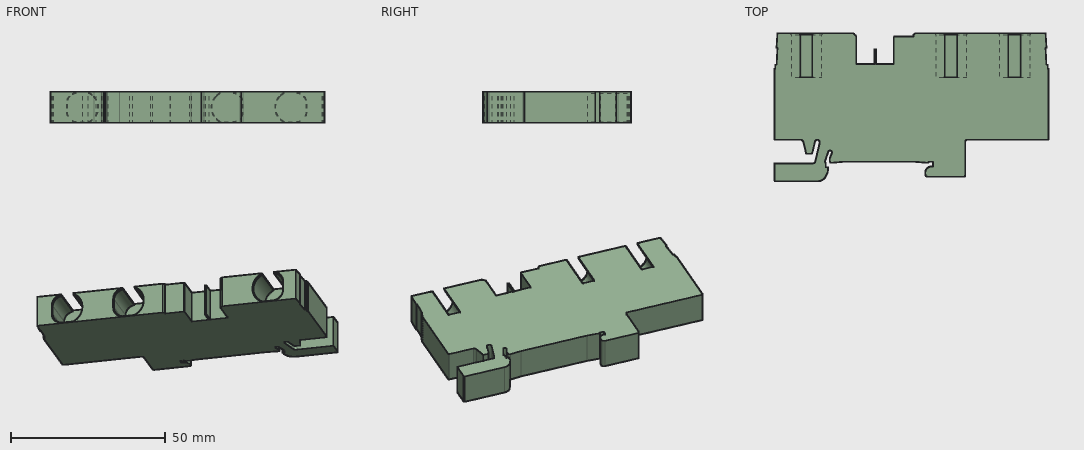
import cadquery as cq
import math

length = 88.9
depth = 48.0
thickness = 10.1

housing_bottom = 13.4
rail_face = 6.3
rail_lip = 6.0
rail_flat_left = 22.4
rail_flat_right = 45.4
rail_right = 49.8
rail_end_slope = 0.4
foot_bottom = 1.4
lever_top = 5.9

latch_valley = 1.0
latch_tip = 0.7
shoulder_inset = 0.3
upper_tooth_top = 43.7
upper_tooth_bottom = 43.2
shoulder_top = 37.8
shoulder_bottom = 36.45
corner_radius = 0.4

notch_left = 26.6
notch_right = 38.7
notch_floor = 38.05
notch_bevel = 1.0
ledge_height = 46.9
ledge_bevel = 0.3
ledge_right = 45.1
ledge_step_bevel = 0.5
pin_left = 32.45
pin_width = 0.5
pin_top = 42.85

foot_right = 61.9
foot_radius = 0.5
hook_radius = 0.9
hook_left = 48.9
hook_top = 4.9
hook_root = 51.4
hook_crown_start = 3.2
hook_land = 0.5

lever_nose = 17.5
lever_nose_top = 4.6
lever_round_start = 14.05
lever_end_bevel = 0.45
inner_slot_left = 16.7
inner_slot_right = 18.0
outer_slot_mouth = 12.4
web_bottom = 6.5

tooth_bottom = 8.9
tooth_shoulder = 12.6
tooth_left = 10.3
tooth_right = 12.1
tooth_bevel_width = 0.4
tooth_bevel_height = 0.6
tooth_taper = 0.9

entry_bottom = 33.8
slot_width = 4.0
left_slots = [8.4]
right_slots = [55.2, 75.8]
entry_wall = 0.45
chamber_overhang = 2.9
chamber_radius = 3.2
mouth_flare = 0.3
mouth_depth = 0.5


def end_steps(mirrored):
    """Points of a stepped end from the top edge down to the shoulder."""
    steps = [
        (latch_valley, depth),
        (latch_tip, upper_tooth_top),
        (latch_tip, upper_tooth_bottom),
        (latch_valley, upper_tooth_bottom),
        (latch_tip, shoulder_top),
        (shoulder_inset, shoulder_top),
        (shoulder_inset, shoulder_bottom),
        (0, shoulder_bottom),
    ]
    if mirrored:
        return [(length - inset, y) for inset, y in steps]
    return steps


def draw_top_edge(outline):
    """Top edge from left to right, with the notch and the lowered ledge."""
    return (
        outline.lineTo(notch_left - notch_bevel, depth)
        .lineTo(notch_left, depth - notch_bevel)
        .lineTo(notch_left, notch_floor)
        .lineTo(notch_right, notch_floor)
        .lineTo(notch_right, ledge_height - ledge_bevel)
        .lineTo(notch_right + ledge_bevel, ledge_height)
        .lineTo(ledge_right, ledge_height)
        .lineTo(ledge_right, depth - ledge_step_bevel)
        .lineTo(ledge_right + ledge_step_bevel, depth)
    )


def draw_foot(outline):
    """Lower right corner, mounting foot, hook and rail face, from right to left."""
    return (
        outline.lineTo(length, housing_bottom + corner_radius)
        .tangentArcPoint((length - corner_radius, housing_bottom), relative=False)
        .lineTo(foot_right + foot_radius, housing_bottom)
        .tangentArcPoint((foot_right, housing_bottom - foot_radius), relative=False)
        .lineTo(foot_right, foot_bottom + foot_radius)
        .tangentArcPoint((foot_right - foot_radius, foot_bottom), relative=False)
        .lineTo(hook_left + hook_radius, foot_bottom)
        .tangentArcPoint((hook_left, foot_bottom + hook_radius), relative=False)
        .lineTo(hook_left, hook_crown_start)
        .threePointArc((49.6, 4.4), (hook_root - hook_land, hook_top))
        .lineTo(hook_root, hook_top)
        .lineTo(hook_root, rail_face)
        .lineTo(rail_right + rail_end_slope, rail_face)
        .lineTo(rail_right, rail_lip)
        .lineTo(rail_flat_right, rail_face)
        .lineTo(rail_flat_left, rail_face)
    )


def draw_lever(outline):
    """Relief slots, sprung release lever and stop tooth, from right to left."""
    return (
        outline.lineTo(inner_slot_right + 0.5, rail_lip)
        .threePointArc((inner_slot_right + 0.2, 6.1), (inner_slot_right, 6.5))
        .lineTo(inner_slot_right, 7.6)
        .lineTo(18.6, 9.1)
        .threePointArc((18.3, 9.9), (17.5, 9.6))
        .lineTo(16.45, 6.5)
        .lineTo(inner_slot_left, 5.8)
        .lineTo(inner_slot_left, lever_nose_top)
        .lineTo(lever_nose, lever_nose_top)
        .lineTo(17.3, 2.9)
        .lineTo(16.45, 1.2)
        .threePointArc((15.5, 0.4), (lever_round_start, 0))
        .lineTo(lever_end_bevel / 2, 0)
        .lineTo(0, lever_end_bevel)
        .lineTo(0, lever_top)
        .lineTo(outer_slot_mouth, lever_top)
        .threePointArc((13.0, 6.05), (13.25, web_bottom))
        .lineTo(14.7, 12.45)
        .threePointArc((14.0, 13.4), (13.2, tooth_shoulder))
        .lineTo(tooth_right + tooth_bevel_width, tooth_bottom + tooth_bevel_height)
        .lineTo(tooth_right, tooth_bottom)
        .lineTo(tooth_left, tooth_bottom)
        .lineTo(tooth_left - tooth_taper, tooth_shoulder)
        .threePointArc((9.1, 13.25), (8.6, housing_bottom))
        .lineTo(corner_radius, housing_bottom)
        .tangentArcPoint((0, housing_bottom + corner_radius), relative=False)
    )


def make_housing():
    left_end = end_steps(mirrored=False)
    outline = cq.Workplane("XY").moveTo(*left_end[0])
    outline = draw_top_edge(outline)
    for point in end_steps(mirrored=True):
        outline = outline.lineTo(*point)
    outline = draw_lever(draw_foot(outline))
    for point in reversed(left_end[1:]):
        outline = outline.lineTo(*point)
    return outline.close().extrude(thickness)


def make_pin():
    height = pin_top - notch_floor
    pin = cq.Workplane("XY").box(pin_width, height, thickness, centered=False)
    return pin.translate((pin_left, notch_floor, 0))


def chamber_wire(y, growth):
    """Section across the chamber: arched side at +X, flat side with rounded corners at -X.

    The slot spans X from 0 to slot_width; growth widens the section all round.
    """
    floor = entry_wall - growth
    ceiling = thickness - entry_wall + growth
    flat_side = -chamber_overhang - growth
    arch_crown = slot_width + chamber_overhang + growth
    radius = chamber_radius + growth
    bend = flat_side + radius
    inner = radius * (1 - math.cos(math.radians(45)))
    return (
        cq.Workplane("XZ", origin=(0, y, 0))
        .moveTo(bend, floor)
        .lineTo(slot_width, floor)
        .threePointArc((arch_crown, thickness / 2), (slot_width, ceiling))
        .lineTo(bend, ceiling)
        .threePointArc((flat_side + inner, ceiling - inner), (flat_side, ceiling - radius))
        .lineTo(flat_side, floor + radius)
        .threePointArc((flat_side + inner, floor + inner), (bend, floor))
        .close()
        .val()
    )


def make_entry():
    chamber_face = cq.Face.makeFromWires(chamber_wire(entry_bottom, 0))
    chamber = cq.Solid.extrudeLinear(chamber_face, cq.Vector(0, depth - entry_bottom, 0))
    mouth = cq.Solid.makeLoft(
        [chamber_wire(depth - mouth_depth, 0), chamber_wire(depth, mouth_flare)], True
    )
    slot = cq.Workplane("XY", origin=(0, entry_bottom, thickness / 2)).box(
        slot_width, depth - entry_bottom, thickness / 2, centered=False
    )
    return slot.union(cq.Workplane(chamber)).union(cq.Workplane(mouth))


result = make_housing().union(make_pin())
left_entry = make_entry()
right_entry = left_entry.mirror("YZ").translate((slot_width, 0, 0))
for slot_left in left_slots:
    result = result.cut(left_entry.translate((slot_left, 0, 0)))
for slot_left in right_slots:
    result = result.cut(right_entry.translate((slot_left, 0, 0)))